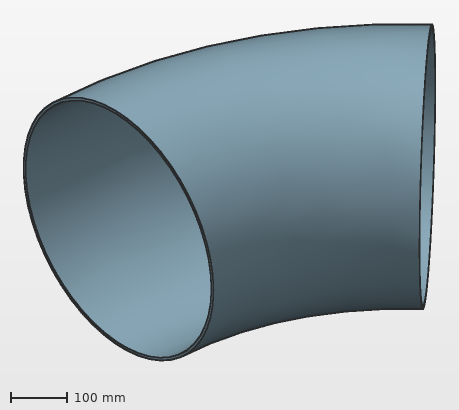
import cadquery as cq
import math

overall_length = 718.5
bend_angle = 45.0
wall = 6.0
bend_ratio = 1.5

outside_bend_radius = overall_length / math.sin(math.radians(bend_angle))
outer_diameter = outside_bend_radius / (bend_ratio + 0.5)
outer_radius = outer_diameter / 2
inner_radius = outer_radius - wall
bend_radius = bend_ratio * outer_diameter

section = cq.Workplane("XZ").circle(outer_radius).circle(inner_radius)
result = section.revolve(bend_angle, (bend_radius, 7, 0), (bend_radius, 0, 0))